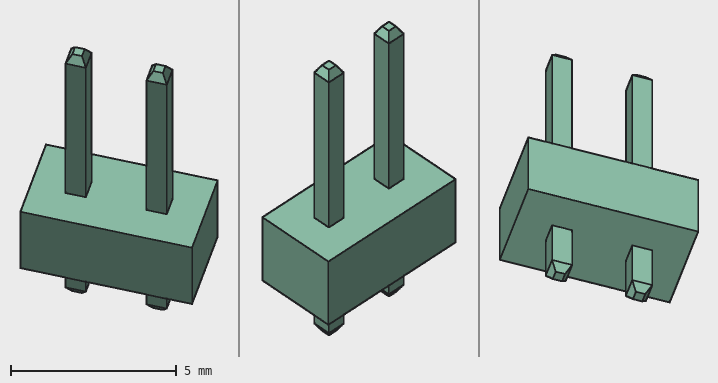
import cadquery as cq

housing_length = 5.38
housing_width = 2.84
housing_height = 2.53

total_height = 10.65
pin_count = 2
pin_pitch = 2.53
pin_side = 0.64
tip_side = 0.3
tip_height = 0.3
lower_pin_length = 2.0
upper_pin_length = total_height - housing_height - lower_pin_length


def make_housing():
    """Plain rectangular block."""
    return cq.Workplane("XY").box(
        housing_length, housing_width, housing_height, centered=(True, True, False)
    )


def make_pin(x, base_z, length, direction):
    """Square pin on a housing face, tapered at its free end; direction is 1 for up, -1 for down."""
    shank_length = length - tip_height
    shank = (
        cq.Workplane("XY", origin=(x, 0, base_z))
        .rect(pin_side, pin_side)
        .extrude(direction * shank_length)
    )
    tip = (
        cq.Workplane("XY", origin=(x, 0, base_z + direction * shank_length))
        .rect(pin_side, pin_side)
        .workplane(offset=direction * tip_height)
        .rect(tip_side, tip_side)
        .loft(ruled=True)
    )
    return shank.union(tip)


housing = make_housing()

upper_pins = []
lower_pins = []
first_pin_x = -pin_pitch * (pin_count - 1) / 2
for i in range(pin_count):
    pin_x = first_pin_x + i * pin_pitch
    upper_pins.append(make_pin(pin_x, housing_height, upper_pin_length, 1).val())
    lower_pins.append(make_pin(pin_x, 0, lower_pin_length, -1).val())

result = cq.Compound.makeCompound([housing.val(), *upper_pins, *lower_pins])